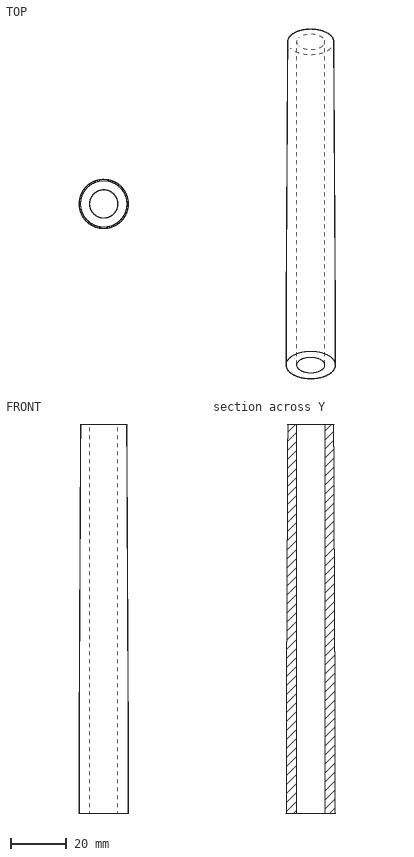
import cadquery as cq

length = 139.7
base_diameter = 17.7
top_diameter = 16.6
bore_diameter = 10.0
base_height = 25.4

base_radius = base_diameter / 2
top_radius = top_diameter / 2
bore_radius = bore_diameter / 2

half_section = (
    cq.Workplane("XZ")
    .moveTo(bore_radius, 0)
    .lineTo(base_radius, 0)
    .lineTo(base_radius, base_height)
    .lineTo(top_radius, length)
    .lineTo(bore_radius, length)
    .close()
)

result = half_section.revolve(360, (0, 0, 0), (0, 1, 0))